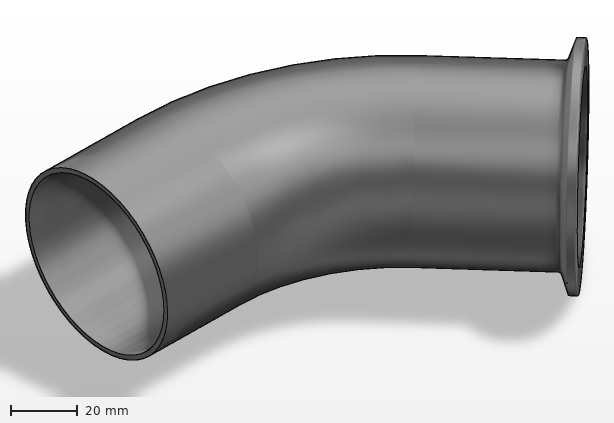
import math

import cadquery as cq

TUBE_OD = 63.5
BORE = 60.2
BEND_RADIUS = 1.5 * TUBE_OD
BEND_ANGLE = 45.0

PLAIN_CENTRE_TO_END = 76.2
CLAMP_CENTRE_TO_FACE = 88.9

FERRULE_LENGTH = 12.7
RIM_DIAMETER = 77.39
RIM_THICKNESS = 2.87
RIM_EDGE_RADIUS = 0.42
CONE_ANGLE = 20.0
NECK_FILLET = 1.2

EDGE_TOLERANCE = 0.001

bend_tangent = BEND_RADIUS * math.tan(math.radians(BEND_ANGLE / 2))
plain_leg = PLAIN_CENTRE_TO_END - bend_tangent
clamp_leg = CLAMP_CENTRE_TO_FACE - bend_tangent
tube_leg = clamp_leg - FERRULE_LENGTH

turn = math.radians(BEND_ANGLE)
leg_direction = cq.Vector(math.sin(turn), math.cos(turn), 0)
bend_end = cq.Vector(
    BEND_RADIUS * (1 - math.cos(turn)),
    plain_leg + BEND_RADIUS * math.sin(turn),
    0,
)


def section(plane):
    """Annular tube section on the given plane."""
    return cq.Workplane(plane).circle(TUBE_OD / 2).circle(BORE / 2)


def make_plain_leg():
    start = cq.Plane(origin=(0, 0, 0), xDir=(1, 0, 0), normal=(0, 1, 0))
    return section(start).extrude(plain_leg)


def make_bend():
    start = cq.Plane(origin=(0, plain_leg, 0), xDir=(1, 0, 0), normal=(0, 1, 0))
    return section(start).revolve(BEND_ANGLE, (BEND_RADIUS, 0), (BEND_RADIUS, 1))


def make_tube_leg():
    start = cq.Plane(origin=bend_end, xDir=(0, 0, 1), normal=leg_direction)
    return section(start).extrude(tube_leg)


def make_ferrule():
    """Short tube ending in a clamp rim with a tapered back, turned about the leg axis."""
    tube_radius = TUBE_OD / 2
    rim_radius = RIM_DIAMETER / 2
    cone_depth = (rim_radius - tube_radius) * math.tan(math.radians(CONE_ANGLE))
    rim_back = FERRULE_LENGTH - RIM_THICKNESS
    profile_plane = cq.Plane(
        origin=bend_end + leg_direction * tube_leg,
        xDir=(0, 0, 1),
        normal=cq.Vector(0, 0, 1).cross(leg_direction),
    )
    ferrule = (
        cq.Workplane(profile_plane)
        .moveTo(BORE / 2, 0)
        .lineTo(tube_radius, 0)
        .lineTo(tube_radius, rim_back - cone_depth)
        .lineTo(rim_radius, rim_back)
        .lineTo(rim_radius, FERRULE_LENGTH)
        .lineTo(BORE / 2, FERRULE_LENGTH)
        .close()
        .revolve(360, (0, 0), (0, 1))
    )

    def round_edge(body, edge_radius, edge_height, fillet_radius):
        """Fillet the circular edge that has this radius and height along the ferrule."""
        edges = [
            edge
            for edge in body.edges("%CIRCLE").vals()
            if math.isclose(edge.radius(), edge_radius, abs_tol=EDGE_TOLERANCE)
            and math.isclose(
                profile_plane.toLocalCoords(edge.arcCenter()).y,
                edge_height,
                abs_tol=EDGE_TOLERANCE,
            )
        ]
        return cq.Workplane(body.val().fillet(fillet_radius, edges))

    ferrule = round_edge(ferrule, rim_radius, FERRULE_LENGTH, RIM_EDGE_RADIUS)
    ferrule = round_edge(ferrule, rim_radius, rim_back, RIM_EDGE_RADIUS)
    return round_edge(ferrule, tube_radius, rim_back - cone_depth, NECK_FILLET)


result = make_plain_leg().union(make_bend()).union(make_tube_leg()).union(make_ferrule())